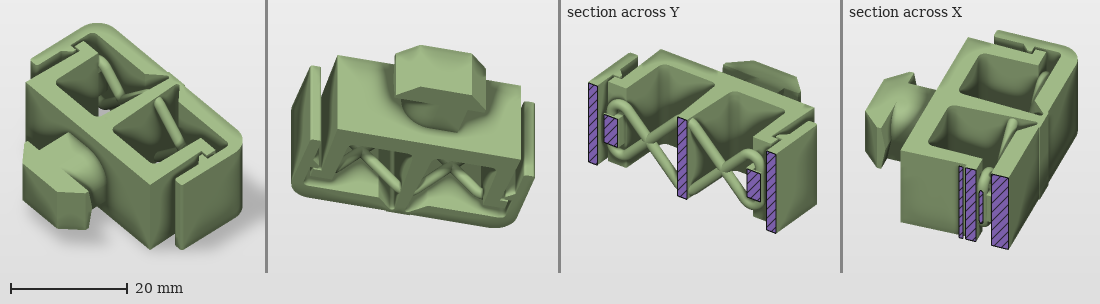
import cadquery as cq
import math

HEIGHT = 16.0
BASE_HALF_WIDTH = 16.3
FLOOR_Y = 3.5
FLOOR_RADIUS = 1.3
TOWER_OUTER_DRAFT = math.radians(2.0)
TOWER_INNER_DRAFT = math.radians(1.0)
WEB_DRAFT = math.radians(3.0)
WEB_TOP_HALF_WIDTH = 0.85
TOWER_TOP_Y = 14.0
TOWER_INNER_X = 13.45
FLANGE_HALF_WIDTH = 17.3
FLANGE_THICKNESS = 2.0

LID_HALF_WIDTH = 20.0
LID_TOP_Y = 20.0
LID_THICKNESS = 3.25
LID_OUTER_RADIUS = 4.0
LID_INNER_RADIUS = 1.0
PAD_HALF_WIDTH = 2.1
PAD_THICKNESS = 0.2
NOTCH_FOOT_X = 4.4
NOTCH_TOP_Y = 20.15
NOTCH_RADIUS = 0.5
LEG_THICKNESS = 2.0
LEG_END_Y = 4.0
LEG_END_RADIUS = 0.5
CATCH_TOP_Y = 11.6
CATCH_DEPTH = 1.45
CATCH_FLAT = 0.7
CATCH_RAMP = 1.3
CATCH_RADIUS = 0.4

WIRE_DIAMETER = 1.9
WIRE_Y = 14.9
WIRE_CROSSING_X = 8.0
WIRE_END_X = 15.8
WIRE_CENTRE_RADIUS = 2.6
WIRE_END_RADIUS = 2.0

PEG_HALF_HEIGHT = 2.9
PEG_TOP_Y = 16.7
PEG_LIP_Y = 15.9
PEG_LIP_X = 16.65
PEG_INNER_X = 13.55
PEG_STEM_X = 14.75
PEG_RADIUS = 0.95

STEM_HALF_WIDTH = 5.0
FOOT_HALF_HEIGHT = 4.5
FOOT_HALF_WIDTH = 8.0
FOOT_TIP_Y = -10.9
FOOT_CHAMFER = 3.45
FOOT_RIDGE_Y = -5.9
FOOT_RIM_Y = -6.7


def mirrored(half):
    """Join a right-hand half with its mirror image about X = 0."""
    return half.union(half.mirror("YZ"))


def prism(points, half_height):
    """Extrude an XY outline symmetrically about Z = 0."""
    return cq.Workplane("XY").polyline(points).close().extrude(half_height, both=True)


def round_corners(body, corners, radius):
    """Fillet the edges along Z that pass through the given XY points."""
    for x, y in corners:
        edge = cq.selectors.NearestToPointSelector((x, y, 0))
        body = body.edges("|Z").edges(edge).fillet(radius)
    return body


def make_housing():
    flange_y = TOWER_TOP_Y - FLANGE_THICKNESS
    tower_outer_x = BASE_HALF_WIDTH - flange_y * math.tan(TOWER_OUTER_DRAFT)
    floor_outer_x = TOWER_INNER_X - (TOWER_TOP_Y - FLOOR_Y) * math.tan(TOWER_INNER_DRAFT)
    floor_inner_x = WEB_TOP_HALF_WIDTH + (NOTCH_TOP_Y - FLOOR_Y) * math.tan(WEB_DRAFT)
    floor_outer = (floor_outer_x, FLOOR_Y)
    floor_inner = (floor_inner_x, FLOOR_Y)
    notch_apex = (WEB_TOP_HALF_WIDTH, NOTCH_TOP_Y)

    lid_inner_y = LID_TOP_Y - LID_THICKNESS
    leg_inner_x = LID_HALF_WIDTH - LEG_THICKNESS
    catch_x = leg_inner_x - CATCH_DEPTH
    catch_flat_y = CATCH_TOP_Y - CATCH_FLAT
    catch_tip = (catch_x, catch_flat_y)
    lid_inner = (leg_inner_x, lid_inner_y)
    lid_outer = (LID_HALF_WIDTH, LID_TOP_Y)
    leg_inner_end = (leg_inner_x, LEG_END_Y)
    leg_outer_end = (LID_HALF_WIDTH, LEG_END_Y)
    pad_top_y = LID_TOP_Y + PAD_THICKNESS

    outline = [
        (0, 0),
        (BASE_HALF_WIDTH, 0),
        (tower_outer_x, flange_y),
        (FLANGE_HALF_WIDTH, flange_y),
        (FLANGE_HALF_WIDTH, TOWER_TOP_Y),
        (TOWER_INNER_X, TOWER_TOP_Y),
        floor_outer,
        floor_inner,
        notch_apex,
        (NOTCH_FOOT_X, lid_inner_y),
        lid_inner,
        (leg_inner_x, CATCH_TOP_Y),
        (catch_x, CATCH_TOP_Y),
        catch_tip,
        (leg_inner_x, catch_flat_y - CATCH_RAMP),
        leg_inner_end,
        leg_outer_end,
        lid_outer,
        (PAD_HALF_WIDTH, LID_TOP_Y),
        (PAD_HALF_WIDTH, pad_top_y),
        (0, pad_top_y),
    ]
    half = prism(outline, HEIGHT / 2)
    half = round_corners(half, [floor_outer, floor_inner], FLOOR_RADIUS)
    half = round_corners(half, [notch_apex], NOTCH_RADIUS)
    half = round_corners(half, [catch_tip], CATCH_RADIUS)
    half = round_corners(half, [lid_inner], LID_INNER_RADIUS)
    half = round_corners(half, [lid_outer], LID_OUTER_RADIUS)
    half = round_corners(half, [leg_inner_end, leg_outer_end], LEG_END_RADIUS)
    return mirrored(half)


def make_pegs():
    """Hooked pegs standing on the towers, their lips reaching over the wire."""
    inner_top = (PEG_INNER_X, PEG_TOP_Y)
    outline = [
        (PEG_INNER_X, TOWER_TOP_Y),
        (PEG_STEM_X, TOWER_TOP_Y),
        (PEG_STEM_X, PEG_LIP_Y),
        (PEG_LIP_X, PEG_LIP_Y),
        (PEG_LIP_X, PEG_TOP_Y),
        inner_top,
    ]
    peg = prism(outline, PEG_HALF_HEIGHT)
    return mirrored(round_corners(peg, [inner_top], PEG_RADIUS))


def make_wire():
    """Two mirrored strands, crossing at 45 degrees either side of the web."""
    diagonal = math.sqrt(0.5)
    end_centre_x = WIRE_END_X - WIRE_END_RADIUS
    end_exit_x = end_centre_x - WIRE_END_RADIUS * diagonal
    end_exit_z = end_exit_x - WIRE_CROSSING_X
    end_centre_z = end_exit_z - WIRE_END_RADIUS * diagonal
    end_mid_angle = math.radians(135) / 2
    end_mid_x = end_centre_x + WIRE_END_RADIUS * math.cos(end_mid_angle)
    end_mid_z = end_centre_z + WIRE_END_RADIUS * math.sin(end_mid_angle)
    bend_x = WIRE_CENTRE_RADIUS * diagonal
    bend_z = bend_x - WIRE_CROSSING_X
    bend_bottom_z = bend_z - WIRE_CENTRE_RADIUS * (1 - diagonal)

    path = (
        cq.Workplane("XZ", origin=(0, WIRE_Y, 0))
        .moveTo(-WIRE_END_X, 0)
        .lineTo(-WIRE_END_X, end_centre_z)
        .threePointArc((-end_mid_x, end_mid_z), (-end_exit_x, end_exit_z))
        .lineTo(-bend_x, bend_z)
        .threePointArc((0, bend_bottom_z), (bend_x, bend_z))
        .lineTo(end_exit_x, end_exit_z)
        .threePointArc((end_mid_x, end_mid_z), (WIRE_END_X, end_centre_z))
        .lineTo(WIRE_END_X, 0)
    )
    section = cq.Workplane("XY", origin=(-WIRE_END_X, WIRE_Y, 0)).circle(WIRE_DIAMETER / 2)
    strand = section.sweep(path)
    return strand.union(strand.mirror("XY"))


def make_stem():
    """Stem with two opposite corners rounded so that it can turn in a slot."""
    arc_centre_z = FOOT_HALF_HEIGHT - STEM_HALF_WIDTH
    arc_mid_x = STEM_HALF_WIDTH * math.sqrt(0.5)
    arc_mid_z = arc_centre_z + arc_mid_x
    return (
        cq.Workplane("XZ")
        .moveTo(-STEM_HALF_WIDTH, FOOT_HALF_HEIGHT)
        .lineTo(0, FOOT_HALF_HEIGHT)
        .threePointArc((arc_mid_x, arc_mid_z), (STEM_HALF_WIDTH, arc_centre_z))
        .lineTo(STEM_HALF_WIDTH, -FOOT_HALF_HEIGHT)
        .lineTo(0, -FOOT_HALF_HEIGHT)
        .threePointArc((-arc_mid_x, -arc_mid_z), (-STEM_HALF_WIDTH, -arc_centre_z))
        .close()
        .extrude(-FOOT_TIP_Y - FOOT_CHAMFER)
    )


def make_foot():
    """Cross bar with a ridged bearing face and a chamfered tip."""
    side_outline = [
        (FOOT_TIP_Y, -FOOT_HALF_HEIGHT),
        (FOOT_RIM_Y, -FOOT_HALF_HEIGHT),
        (FOOT_RIDGE_Y, 0),
        (FOOT_RIM_Y, FOOT_HALF_HEIGHT),
        (FOOT_TIP_Y, FOOT_HALF_HEIGHT),
    ]
    bar = cq.Workplane("YZ").polyline(side_outline).close().extrude(FOOT_HALF_WIDTH, both=True)
    return bar.faces("<Y").edges("|Z").chamfer(FOOT_CHAMFER)


result = (
    make_housing()
    .union(make_pegs())
    .union(make_wire())
    .union(make_stem())
    .union(make_foot())
)